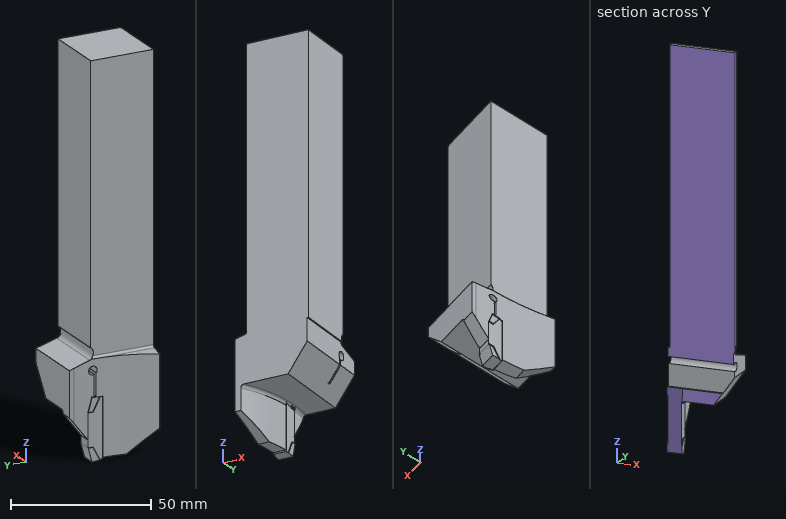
import cadquery as cq
import math

length = 152.4
width = 30.0
depth = 34.5

shank_left = 4.7
shank_depth = 25.3
shank_bottom = 40.1

head_right = 29.5
head_corner_z = 31.0
head_bottom = 19.8
head_bottom_right = 21.8
shoulder_z = 38.1
shoulder_fillet_x = 3.8
shoulder_slope = 15.0
fillet_mid_across = 0.75
fillet_mid_up = 0.3
back_top_z = 36.4
back_bottom_z = 18.5

relief_top_z = 43.1
relief_deepest = (24.2, 41.3)
relief_end = (26.0, 38.9)

blade_bottom = 1.0
blade_front_z = 9.8
blade_chamfer_y = 11.9
blade_crest_y = 25.9
left_crest_x = 4.0
left_radius = 86.7
right_crest_x = 9.3
right_radius = 52.5
left_arc_end_y = 32.6
root_fillet = 1.2

hole_y = 24.8
hole_z = 34.7
hole_radius = 1.7
slit_y = 24.0
slit_width = 0.8

insert_front = 20.9
insert_back = 26.8
insert_edge_y = 25.3
insert_top = 24.7
end_relief = 0.5
rake_height = 5.6
cutting_overhang = 0.3
flank_start_y = 22.1
flank_bend_y = 24.8


def arc_x(crest_x, radius, y):
    """X of a blade face at the given y."""
    return crest_x - radius + math.sqrt(radius**2 - (y - blade_crest_y) ** 2)


def extrude_along_x(outline, start, end):
    """Solid of a YZ outline between two x positions."""
    return outline.extrude(end - start).translate((start, 0, 0))


def make_blank():
    """Holder shape common to its front outline and its side outline."""
    slope_rise = shoulder_fillet_x * math.tan(math.radians(shoulder_slope))
    shoulder_fillet_z = shoulder_z + slope_rise
    fillet_mid = (
        shoulder_fillet_x + fillet_mid_across * (shank_left - shoulder_fillet_x),
        shoulder_fillet_z + fillet_mid_up * (shank_bottom - shoulder_fillet_z),
    )
    front = (
        cq.Workplane("XZ")
        .moveTo(shank_left, length)
        .lineTo(width, length)
        .lineTo(width, shank_bottom)
        .lineTo(head_right, shank_bottom)
        .lineTo(head_right, head_corner_z)
        .lineTo(head_bottom_right, head_bottom)
        .lineTo(head_bottom_right, blade_bottom)
        .lineTo(0, blade_bottom)
        .lineTo(0, shoulder_z)
        .lineTo(shoulder_fillet_x, shoulder_fillet_z)
        .threePointArc(fillet_mid, (shank_left, shank_bottom))
        .close()
        .extrude(-depth)
    )
    side = (
        cq.Workplane("YZ")
        .moveTo(0, length)
        .lineTo(0, blade_front_z)
        .lineTo(blade_chamfer_y, blade_bottom)
        .lineTo(insert_front, blade_bottom)
        .lineTo(depth, back_bottom_z)
        .lineTo(depth, back_top_z)
        .lineTo(*relief_end)
        .threePointArc(relief_deepest, (shank_depth, relief_top_z))
        .lineTo(shank_depth, length)
        .close()
    )
    return front.intersect(extrude_along_x(side, 0, width))


def left_face_cutter():
    """Material outside the concave left face of the head and blade."""
    mid_y = left_arc_end_y / 2
    flat_x = arc_x(left_crest_x, left_radius, left_arc_end_y)
    return (
        cq.Workplane("XY")
        .moveTo(arc_x(left_crest_x, left_radius, 0), 0)
        .threePointArc((arc_x(left_crest_x, left_radius, mid_y), mid_y), (flat_x, left_arc_end_y))
        .lineTo(flat_x, depth)
        .lineTo(-width, depth)
        .lineTo(-width, 0)
        .close()
        .extrude(shank_bottom)
    )


def right_face_cutter():
    """Space beside the convex right face of the blade, rounded at the root."""
    mid_y = depth / 2
    cutter = (
        cq.Workplane("XY")
        .moveTo(arc_x(right_crest_x, right_radius, 0), 0)
        .threePointArc(
            (arc_x(right_crest_x, right_radius, mid_y), mid_y),
            (arc_x(right_crest_x, right_radius, depth), depth),
        )
        .lineTo(width, depth)
        .lineTo(width, 0)
        .close()
        .extrude(head_bottom)
    )
    root_edge = cutter.faces(">Z").edges("<X")
    return root_edge.fillet(root_fillet)


def clamping_slit():
    """Slit from the insert seat up to a round hole, through the head."""
    hole = cq.Workplane("YZ").center(hole_y, hole_z).circle(hole_radius).extrude(width)
    slit_height = hole_z - insert_top
    slit_centre_z = insert_top + slit_height / 2
    slit = cq.Workplane("YZ").center(slit_y, slit_centre_z).rect(slit_width, slit_height).extrude(width)
    return hole.union(slit)


def insert_outline():
    """Side outline of the insert, with raked tips at both ends."""
    return cq.Workplane("YZ").polyline([
        (insert_front, end_relief),
        (insert_edge_y, 0),
        (insert_back, rake_height),
        (insert_back, insert_top - rake_height),
        (insert_edge_y, insert_top),
        (insert_front, insert_top - end_relief),
    ]).close()


def make_insert():
    """Insert body with a slightly wider cutting head at each end."""
    head_left = left_crest_x - cutting_overhang
    head_end = right_crest_x + cutting_overhang
    flank_z = end_relief * (insert_edge_y - flank_start_y) / (insert_edge_y - insert_front)
    outline = (
        cq.Workplane("YZ")
        .moveTo(insert_edge_y, 0)
        .lineTo(insert_back, rake_height)
        .lineTo(flank_bend_y, rake_height)
        .lineTo(flank_start_y, flank_z)
        .close()
    )
    lower_head = extrude_along_x(outline, head_left, head_end)
    upper_head = lower_head.mirror("XY", (0, 0, insert_top / 2))
    body = extrude_along_x(insert_outline(), left_crest_x, right_crest_x)
    return body.union(lower_head).union(upper_head)


def make_holder(insert):
    """Shank, head and blade with the slit and the seat of the insert."""
    seat = extrude_along_x(insert_outline(), 0, right_crest_x)
    holder = make_blank().cut(left_face_cutter()).cut(right_face_cutter())
    return holder.cut(clamping_slit()).cut(seat).cut(insert)


insert = make_insert()
holder = make_holder(insert)
result = cq.Compound.makeCompound([holder.solids().val(), insert.solids().val()])